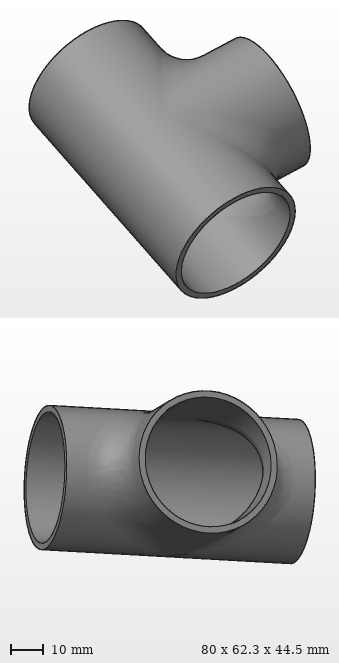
import cadquery as cq

run_length = 80.0
branch_length = 40.0
outer_diameter = 44.5
bore_diameter = 40.5
outer_crotch_radius = 11.0

wall = (outer_diameter - bore_diameter) / 2
inner_crotch_radius = outer_crotch_radius + wall


def rounded_tee(diameter, crotch_radius):
    """Two equal crossing cylinders with the two crotches between run and branch rounded."""
    radius = diameter / 2
    run = cq.Workplane("YZ").circle(radius).extrude(run_length / 2, both=True)
    branch = cq.Workplane("XZ").circle(radius).extrude(-branch_length)

    crotch_edges = cq.selectors.BoxSelector((-radius, 0, -radius), (radius, radius, radius))
    return run.union(branch).edges(crotch_edges).fillet(crotch_radius)


outer_body = rounded_tee(outer_diameter, outer_crotch_radius)
bore = rounded_tee(bore_diameter, inner_crotch_radius)
result = outer_body.cut(bore)